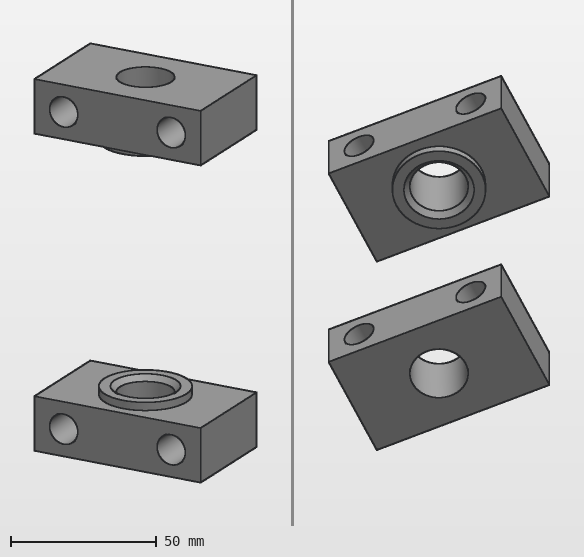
import cadquery as cq

total_height = 136.0
block_length = 65.0
block_width = 40.0
block_height = 20.0

boss_diameter = 32.0
boss_height = 3.0

bore_diameter = 20.0
mouth_chamfer = 2.0

screw_hole_diameter = 11.0
screw_hole_spacing = 42.0


def bearing_block():
    """Block resting on Z = 0, with its ring on top and its bore on the Z axis."""
    block = cq.Workplane("XY").box(
        block_length, block_width, block_height, centered=(True, True, False)
    )
    boss = cq.Workplane("XY").workplane(offset=block_height).circle(boss_diameter / 2).extrude(boss_height)
    block = block.union(boss)
    block = block.faces(">Z").workplane().hole(bore_diameter)
    block = block.faces(">Z").edges("%CIRCLE").edges(cq.selectors.RadiusNthSelector(0)).chamfer(mouth_chamfer)
    return block.cut(screw_holes())


def screw_holes():
    """Two cylinders through the full width of the block, at mid height."""
    half_spacing = screw_hole_spacing / 2
    return (
        cq.Workplane("XZ", origin=(0, 0, block_height / 2))
        .pushPoints([(-half_spacing, 0), (half_spacing, 0)])
        .circle(screw_hole_diameter / 2)
        .extrude(block_width / 2, both=True)
    )


blocks = []
for base_height, turn_angle in ((0, 0), (total_height, 180)):
    block = bearing_block().rotate((0, 0, 0), (1, 0, 0), turn_angle)
    blocks.append(block.translate((0, 0, base_height - total_height / 2)).val())

result = cq.Compound.makeCompound(blocks)